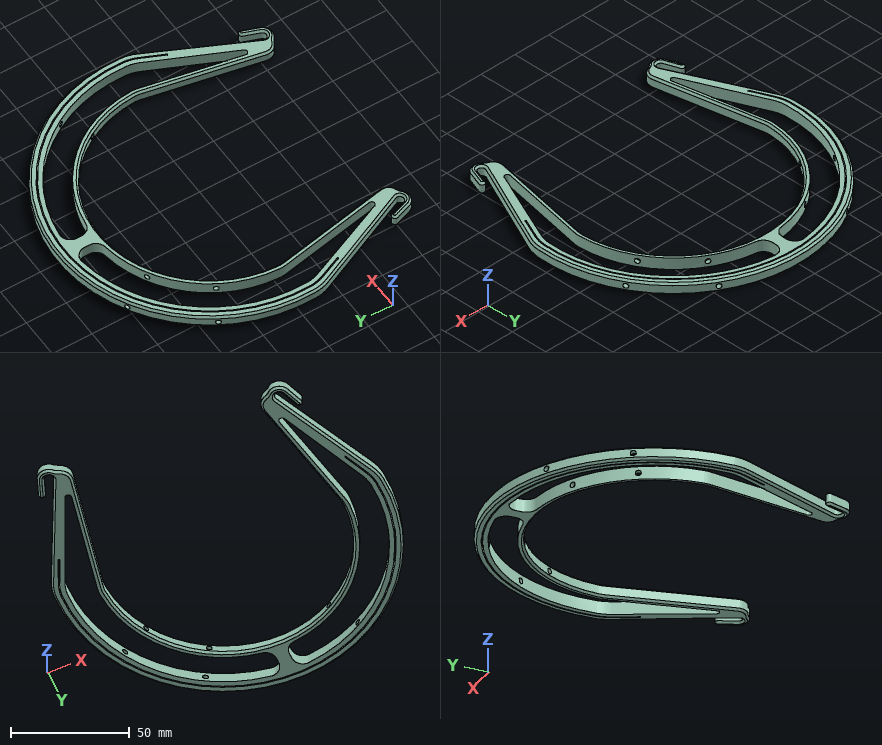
import cadquery as cq
import math

thickness = 6.0
edge_chamfer = 1.0

rim_radius = 75.9
rim_width = 5.9
rim_bend_radius = 20.5
leg_angle = 25.0
leg_distance = 72.0

inner_radius = 55.0
band_width = 2.6
inner_leg_angle = 11.1
inner_bend_radius = 15.2

strut_width = 6.0
window_leg_angle = 24.0
window_leg_distance = 66.5
window_bend_radius = 16.7
strut_fillet = 5.0
window_tip_fillet = 1.4

slot_offset = 2.6
slot_width = 0.53
slot_end_y = -21.7

hook_center_y = -61.2
hook_gap_radius = 2.0
hook_width = 3.0
hook_angle = 20.0
hook_arm_length = 9.5
hook_tip_fillet = 1.4
foot_drop = 4.4
foot_fillet = 5.6
foot_notch_fillet = 3.6

hole_diameter = 2.5
hole_angles = (-60.0, -30.0, 30.0, 60.0)


def polar(center, radius, angle):
    """Point at a distance from center; the angle runs from -X towards -Y."""
    turn = math.radians(angle)
    return (center[0] - radius * math.cos(turn), center[1] - radius * math.sin(turn))


def leg_point(distance, angle, y):
    """Point at height y on a leg side, given by its distance from the ring centre and its angle."""
    turn = math.radians(angle)
    return (-(distance + y * math.sin(turn)) / math.cos(turn), y)


def distance_to_line(point, angle):
    """Distance from the ring centre to the line through point that has a leg side's angle."""
    turn = math.radians(angle)
    return -point[0] * math.cos(turn) - point[1] * math.sin(turn)


def leg_crossing(distance_a, angle_a, distance_b, angle_b):
    """Crossing of two leg sides, each given by its distance from the ring centre and its angle."""
    turn_a = math.radians(angle_a)
    turn_b = math.radians(angle_b)
    spread = math.sin(turn_b - turn_a)
    x = (distance_b * math.sin(turn_a) - distance_a * math.sin(turn_b)) / spread
    y = (distance_a * math.cos(turn_b) - distance_b * math.cos(turn_a)) / spread
    return (x, y)


def rim_bend(radius, distance, angle, bend_radius):
    """Start, middle and end of the arc that leads from a ring smoothly into a leg side."""
    reach = radius - bend_radius
    ring_angle = angle - math.degrees(math.acos((distance - bend_radius) / reach))
    center = polar((0, 0), reach, ring_angle)
    bend_angles = (ring_angle, (ring_angle + angle) / 2, angle)
    return [polar(center, bend_radius, bend_angle) for bend_angle in bend_angles]


def near(solid, point, tolerance=0.2):
    """Upright edges of the solid that stand at the point."""
    low = (point[0] - tolerance, point[1] - tolerance, -thickness)
    high = (point[0] + tolerance, point[1] + tolerance, thickness)
    return solid.edges("|Z").edges(cq.selectors.BoxSelector(low, high))


def extrude_centered(outline):
    return outline.extrude(thickness / 2, both=True)


def make_half_plate():
    """Left half of the solid plate: outer rim, leg, foot and hook, without openings."""
    bend = rim_bend(rim_radius, leg_distance, leg_angle, rim_bend_radius)
    hook_outer_radius = hook_gap_radius + hook_width

    gap_end_y = hook_center_y + hook_gap_radius * math.sin(math.radians(leg_angle))
    gap_end = leg_point(leg_distance, leg_angle, gap_end_y)
    hook_center = polar(gap_end, hook_gap_radius, leg_angle)
    gap_bottom = polar(hook_center, hook_gap_radius, 90)
    gap_start = polar(hook_center, hook_gap_radius, hook_angle)
    arm_outer = polar(hook_center, hook_outer_radius, hook_angle)
    hook_bottom = polar(hook_center, hook_outer_radius, 90)

    tip_inner = polar(gap_start, hook_arm_length, hook_angle - 90)
    tip_outer = polar(arm_outer, hook_arm_length, hook_angle - 90)

    notch_angle = leg_angle + 180 - math.degrees(math.asin(foot_drop / hook_outer_radius))
    notch = polar(hook_center, hook_outer_radius, notch_angle)
    inner_side = (-inner_radius, 0)
    inner_distance = distance_to_line(inner_side, inner_leg_angle)
    foot_distance = distance_to_line(notch, leg_angle + 90)
    foot_corner = leg_crossing(foot_distance, leg_angle + 90, inner_distance, inner_leg_angle)

    plate = extrude_centered(
        cq.Workplane("XY")
        .moveTo(0, rim_radius)
        .threePointArc(polar((0, 0), rim_radius, -45), bend[0])
        .threePointArc(bend[1], bend[2])
        .lineTo(*gap_end)
        .threePointArc(gap_bottom, gap_start)
        .lineTo(*tip_inner)
        .lineTo(*tip_outer)
        .lineTo(*arm_outer)
        .threePointArc(hook_bottom, notch)
        .lineTo(*foot_corner)
        .lineTo(*inner_side)
        .threePointArc(polar((0, 0), inner_radius, -45), (0, inner_radius))
        .close()
    )
    roundings = (
        (tip_inner, hook_tip_fillet),
        (tip_outer, hook_tip_fillet),
        (notch, foot_notch_fillet),
        (foot_corner, foot_fillet),
        (inner_side, inner_bend_radius),
    )
    for corner, radius in roundings:
        plate = near(plate, corner).fillet(radius)
    return plate


def make_window():
    """Left opening between the outer rim and the inner band."""
    outer = rim_radius - rim_width
    inner = inner_radius + band_width
    inner_side = (-inner, 0)
    strut_x = -strut_width / 2
    bend = rim_bend(outer, window_leg_distance, window_leg_angle, window_bend_radius)
    inner_distance = distance_to_line(inner_side, inner_leg_angle)
    tip = leg_crossing(window_leg_distance, window_leg_angle, inner_distance, inner_leg_angle)
    strut_top = (strut_x, math.sqrt(outer**2 - strut_x**2))
    strut_bottom = (strut_x, math.sqrt(inner**2 - strut_x**2))

    window = extrude_centered(
        cq.Workplane("XY")
        .moveTo(*strut_top)
        .threePointArc(polar((0, 0), outer, -45), bend[0])
        .threePointArc(bend[1], bend[2])
        .lineTo(*tip)
        .lineTo(*inner_side)
        .threePointArc(polar((0, 0), inner, -45), strut_bottom)
        .close()
    )
    roundings = (
        (strut_top, strut_fillet),
        (strut_bottom, strut_fillet),
        (tip, window_tip_fillet),
        (inner_side, inner_bend_radius),
    )
    for corner, radius in roundings:
        window = near(window, corner).fillet(radius)
    return window


def make_slot():
    """Thin through slot that follows the outer rim from leg to leg."""
    radius = rim_radius - rim_width + slot_offset
    distance = window_leg_distance + slot_offset
    bend = rim_bend(radius, distance, window_leg_angle, window_bend_radius + slot_offset)
    left_end = leg_point(distance, window_leg_angle, slot_end_y)
    right_bend = [(-x, y) for x, y in reversed(bend)]

    return extrude_centered(
        cq.Workplane("XY")
        .moveTo(*left_end)
        .lineTo(*bend[2])
        .threePointArc(bend[1], bend[0])
        .threePointArc((0, radius), right_bend[2])
        .threePointArc(right_bend[1], right_bend[0])
        .lineTo(-left_end[0], left_end[1])
        .wire()
        .offset2D(slot_width / 2)
    )


def make_hole(angle):
    """Radial hole through the inner band and the outer rim."""
    hole = cq.Workplane("XZ").circle(hole_diameter / 2).extrude(-rim_radius)
    return hole.rotate((0, 0, 0), (0, 0, 1), -angle)


half_plate = make_half_plate()
result = half_plate.union(half_plate.mirror("YZ")).clean()
result = result.faces("|Z").edges().chamfer(edge_chamfer)

window = make_window()
result = result.cut(window).cut(window.mirror("YZ")).cut(make_slot())
for hole_angle in hole_angles:
    result = result.cut(make_hole(hole_angle))